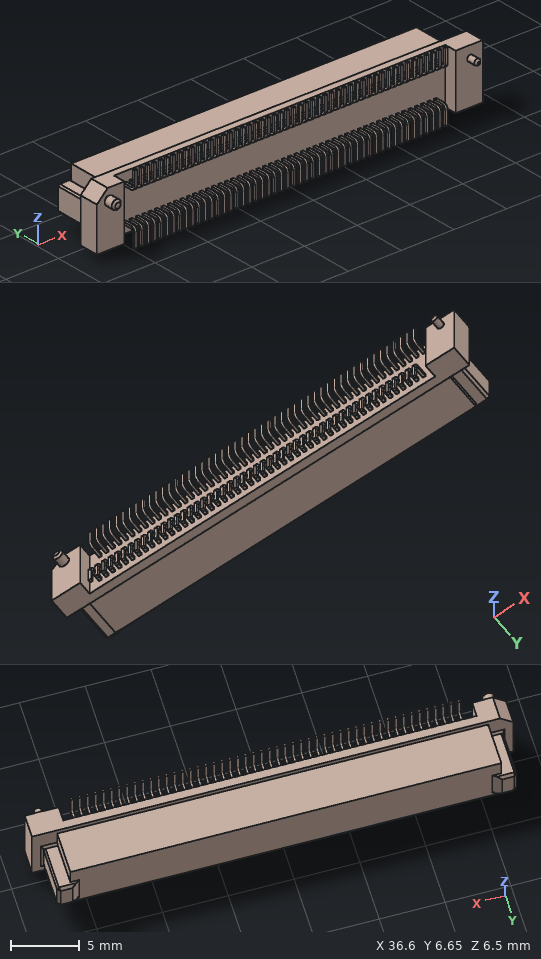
import cadquery as cq


LENGTH = 36.6
FLANGE_HEIGHT = 5.2
FLANGE_THICKNESS = 0.7
FOOT_DEPTH = 1.85
FOOT_LENGTH = 2.6
KEY_CHAMFER = 1.02

BLOCK_LENGTH = 32.75
BLOCK_HEIGHT = 4.3
BLOCK_DEPTH = 3.4

TOWER_SPAN = 34.9
TOWER_DEPTH = 3.8
TOWER_TOP = 0.7
TOWER_BOTTOM = -1.72
TOWER_INNER_X = 15.7
TOWER_TIP_INNER_X = 16.32
TOWER_BEVEL = 0.22
TOWER_TOP_BEVEL = 0.15
TOWER_BASE_FLARE = 0.2
FLARE_ANGLE = 45

PEG_TIP_Y = -2.85
PEG_Z = 1.5
PEG_CHAMFER = 0.2
LEFT_PEG_X = -17.13
LEFT_PEG_DIAMETER = 0.88
RIGHT_PEG_X = 17.1
RIGHT_PEG_DIAMETER = 0.6

PINS_PER_ROW = 50
PIN_ROW_SPAN = 29.43
PIN_WIDTH = 0.25
PIN_THICKNESS = 0.22
PIN_INNER_RADIUS = 0.22
PIN_LEG_Z = 1.5
PIN_TIP_Z = 3.25
PIN_FACE_Y = -2.0


def box(x_range, y_range, z_range):
    """Box between two limits on each axis."""
    sizes = [high - low for low, high in (x_range, y_range, z_range)]
    corner = (x_range[0], y_range[0], z_range[0])
    return cq.Workplane("XY").box(*sizes, centered=False).translate(corner)


def centred(size):
    return (-size / 2, size / 2)


def make_flange():
    flange = box(centred(LENGTH), (-FOOT_DEPTH, 0), centred(FLANGE_HEIGHT))
    flange = flange.edges("|Y and <X and >Z").chamfer(KEY_CHAMFER)
    gap = box(centred(LENGTH - 2 * FOOT_LENGTH), (-FOOT_DEPTH, -FLANGE_THICKNESS), centred(FLANGE_HEIGHT))
    return flange.cut(gap)


def make_block():
    return box(centred(BLOCK_LENGTH), (-FLANGE_THICKNESS, BLOCK_DEPTH), centred(BLOCK_HEIGHT))


def make_tower():
    """Right-hand tower: sloped inner end, bevelled tip and outer corners, flared base."""
    outer_x = TOWER_SPAN / 2
    height = TOWER_TOP - TOWER_BOTTOM
    tower = box((TOWER_INNER_X, outer_x), (0, TOWER_DEPTH), (TOWER_BOTTOM, TOWER_TOP))
    tower = tower.edges("|Y and >X and >Z").chamfer(TOWER_TOP_BEVEL)
    tower = tower.edges("|Y and >X and <Z").chamfer(TOWER_BEVEL)
    tower = tower.faces(">Y").edges("not <X").chamfer(TOWER_BEVEL)

    slope_corners = [
        (TOWER_INNER_X, BLOCK_DEPTH),
        (TOWER_TIP_INNER_X, TOWER_DEPTH),
        (TOWER_INNER_X, TOWER_DEPTH),
    ]
    slope = cq.Workplane("XY", origin=(0, 0, TOWER_BOTTOM)).polyline(slope_corners).close().extrude(height)
    tower = tower.cut(slope)

    base_centre = ((TOWER_INNER_X + outer_x) / 2, 0, (TOWER_TOP + TOWER_BOTTOM) / 2)
    base_length = outer_x - TOWER_INNER_X + 2 * TOWER_BASE_FLARE
    base_height = height + 2 * TOWER_BASE_FLARE
    flare = (
        cq.Workplane("XZ", origin=base_centre)
        .rect(base_length, base_height)
        .extrude(-TOWER_BASE_FLARE, taper=FLARE_ANGLE)
    )
    return tower.union(flare)


def make_peg(x, diameter):
    peg = cq.Workplane("XZ", origin=(x, 0, PEG_Z)).circle(diameter / 2).extrude(-PEG_TIP_Y)
    return peg.faces("<Y").chamfer(PEG_CHAMFER)


def make_pin():
    """Pin at X = 0 in the upper row: a leg along Y, a quarter bend and a flat tail along +Z."""
    profile = [
        (0, PIN_LEG_Z),
        (PIN_FACE_Y, PIN_LEG_Z),
        (PIN_FACE_Y, PIN_TIP_Z),
        (PIN_FACE_Y + PIN_THICKNESS, PIN_TIP_Z),
        (PIN_FACE_Y + PIN_THICKNESS, PIN_LEG_Z + PIN_THICKNESS),
        (0, PIN_LEG_Z + PIN_THICKNESS),
    ]
    pin = cq.Workplane("YZ").polyline(profile).close().extrude(PIN_WIDTH / 2, both=True)
    inner_corner = (0, PIN_FACE_Y + PIN_THICKNESS, PIN_LEG_Z + PIN_THICKNESS)
    pin = pin.edges(cq.NearestToPointSelector(inner_corner)).fillet(PIN_INNER_RADIUS)
    return pin.edges("|X and <Y and <Z").fillet(PIN_INNER_RADIUS + PIN_THICKNESS)


def make_pins():
    upper = make_pin()
    lower = upper.mirror("XY")
    pitch = PIN_ROW_SPAN / (PINS_PER_ROW - 1)
    pins = cq.Workplane()
    for index in range(PINS_PER_ROW):
        offset = (index * pitch - PIN_ROW_SPAN / 2, 0, 0)
        pins = pins.add(upper.translate(offset)).add(lower.translate(offset))
    return cq.Workplane(cq.Compound.makeCompound(pins.vals()))


tower = make_tower()
result = (
    make_flange()
    .union(make_block())
    .union(tower)
    .union(tower.mirror("YZ"))
    .union(make_peg(LEFT_PEG_X, LEFT_PEG_DIAMETER))
    .union(make_peg(RIGHT_PEG_X, RIGHT_PEG_DIAMETER))
    .union(make_pins())
)